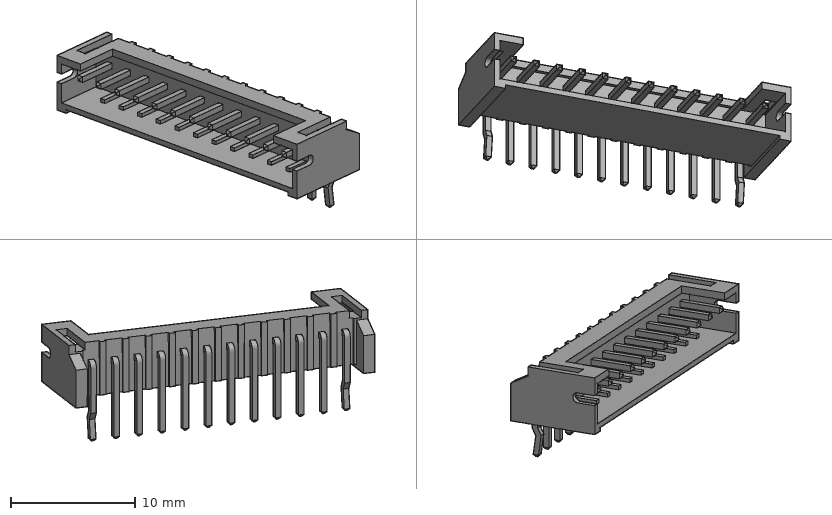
import cadquery as cq


LENGTH = 25.9
HEIGHT = 4.85
DEPTH = 7.6
FOOT_HEIGHT = 0.3
FLOOR_THICKNESS = 0.47
ROOF_THICKNESS = 0.62
SIDE_WALL = 0.5
CAVITY_DEPTH = 4.2
BODY_DEPTH = 6.03
WINDOW_LENGTH = 20.82
WINDOW_DEPTH = 3.88

EAR_WIDTH = 0.98
EAR_SHOULDER_Z = 4.07
EAR_BACK_Z = 3.2
SLOT_OUTER_WALL = 0.57
SLOT_WIDTH = 0.93
SLOT_START_Y = 1.8
NOTCH_DEPTH = 1.97
NOTCH_HEIGHT = 0.85
NOTCH_Z = 2.9

PIN_COUNT = 12
ROW_LENGTH = 22.0
PIN_SIZE = 0.5
PIN_Z = 3.13
PIN_FRONT_Y = 0.45
PIN_BACK_Y = 6.5
BEND_RADIUS = 0.6
PIN_BOTTOM_Z = -3.42
TIP_LENGTH = 0.2
TIP_SIZE = 0.13

KINK_TOP_Z = -0.88
KINK_Z = -1.48
KINK_OFFSET = 0.3
KINK_BACK_DROP = 0.1
KINK_END_OFFSET = 0.08

FLOOR_RIB_WIDTH = 0.45
FLOOR_RIB_HEIGHT = 0.3
FLOOR_RIB_FRONT_Y = 2.23
BACK_RIB_WIDTH = 0.52
PANEL_RECESS = 0.15
PANEL_TOP_RECESS = 0.28
END_RIB_WIDTH = 0.23

FLOOR_Z = FOOT_HEIGHT + FLOOR_THICKNESS
ROOF_Z = HEIGHT - ROOF_THICKNESS
PITCH = ROW_LENGTH / (PIN_COUNT - 1)
PIN_XS = [i * PITCH - ROW_LENGTH / 2 for i in range(PIN_COUNT)]
GAP_XS = [x + PITCH / 2 for x in PIN_XS[:-1]]
LEG_Y = PIN_BACK_Y - PIN_SIZE / 2
SHANK_END_Z = PIN_BOTTOM_Z + TIP_LENGTH


def block(x_range, y_range, z_range):
    """Box between the given limits."""
    size = [high - low for low, high in (x_range, y_range, z_range)]
    corner = (x_range[0], y_range[0], z_range[0])
    return cq.Workplane("XY").box(*size, centered=False).translate(corner)


def centered_range(center, width):
    """Limits of a span of the given width about center."""
    return (center - width / 2, center + width / 2)


def side_profile(points, center_x, width):
    """Extrude a closed (Y, Z) outline along X about center_x."""
    outline = cq.Workplane("YZ", origin=(center_x - width / 2, 0, 0)).polyline(points).close()
    return outline.extrude(width)


def body():
    """Main block with its back panels recessed between ribs and leaning in at the top."""
    half_body = LENGTH / 2 - EAR_WIDTH
    shell = block((-half_body, half_body), (0, BODY_DEPTH), (FOOT_HEIGHT, HEIGHT))
    panel_cut = [
        (BODY_DEPTH, FOOT_HEIGHT),
        (BODY_DEPTH - PANEL_RECESS, FOOT_HEIGHT),
        (BODY_DEPTH - PANEL_RECESS, PIN_Z),
        (BODY_DEPTH - PANEL_TOP_RECESS, HEIGHT),
        (BODY_DEPTH, HEIGHT),
    ]
    half_panels = half_body - END_RIB_WIDTH
    panel_edges = [-half_panels]
    for x in GAP_XS:
        panel_edges += centered_range(x, BACK_RIB_WIDTH)
    panel_edges.append(half_panels)
    for left, right in zip(panel_edges[::2], panel_edges[1::2]):
        shell = shell.cut(side_profile(panel_cut, (left + right) / 2, right - left))
    return shell


def ear(side):
    """End ear over the full depth, with a foot below and a sloped shoulder behind the body."""
    outline = [
        (0, 0),
        (DEPTH, 0),
        (DEPTH, EAR_BACK_Z),
        (BODY_DEPTH, EAR_SHOULDER_Z),
        (BODY_DEPTH, HEIGHT),
        (0, HEIGHT),
    ]
    return side_profile(outline, side * (LENGTH - EAR_WIDTH) / 2, EAR_WIDTH)


def cavity():
    """Mating cavity together with the window through its roof."""
    half_cavity = LENGTH / 2 - SIDE_WALL
    half_window = WINDOW_LENGTH / 2
    pocket = block((-half_cavity, half_cavity), (0, CAVITY_DEPTH), (FLOOR_Z, ROOF_Z))
    window = block((-half_window, half_window), (0, WINDOW_DEPTH), (FLOOR_Z, HEIGHT))
    return pocket.union(window)


def roof_slot(side):
    """Slot beside an ear, open at the back and breaking through the roof into the cavity."""
    center_x = side * (LENGTH / 2 - SLOT_OUTER_WALL - SLOT_WIDTH / 2)
    return block(centered_range(center_x, SLOT_WIDTH), (SLOT_START_Y, DEPTH), (ROOF_Z, HEIGHT))


def side_notches():
    """Round-ended notch from the mating face, through both side walls."""
    radius = NOTCH_HEIGHT / 2
    round_y = NOTCH_DEPTH - radius
    top_z = NOTCH_Z + radius
    bottom_z = NOTCH_Z - radius
    outline = (
        cq.Workplane("YZ", origin=(-LENGTH / 2, 0, 0))
        .moveTo(0, bottom_z)
        .lineTo(round_y, bottom_z)
        .threePointArc((NOTCH_DEPTH, NOTCH_Z), (round_y, top_z))
        .lineTo(0, top_z)
        .close()
    )
    return outline.extrude(LENGTH)


def floor_rib(x):
    """Low rib on the cavity floor, running forward from the back wall."""
    return block(
        centered_range(x, FLOOR_RIB_WIDTH),
        (FLOOR_RIB_FRONT_Y, CAVITY_DEPTH),
        (FLOOR_Z, FLOOR_Z + FLOOR_RIB_HEIGHT),
    )


def tip(plane_name, base_center):
    """Blunt pyramid growing along the plane's normal from a pin end."""
    return (
        cq.Workplane(plane_name, origin=base_center)
        .rect(PIN_SIZE, PIN_SIZE)
        .workplane(offset=TIP_LENGTH)
        .rect(TIP_SIZE, TIP_SIZE)
        .loft(ruled=True)
    )


def leg_outline(kinked):
    """(Y, Z) outline of the leg below the bend, straight or kinked toward the front."""
    front_y = PIN_BACK_Y - PIN_SIZE
    front = [(front_y, PIN_Z)]
    back = [(PIN_BACK_Y, PIN_Z)]
    end_offset = 0
    if kinked:
        end_offset = KINK_END_OFFSET
        kinked_path = [(0, KINK_TOP_Z), (KINK_OFFSET, KINK_Z)]
        front += [(front_y - offset, z) for offset, z in kinked_path]
        back += [(PIN_BACK_Y - offset, z - KINK_BACK_DROP) for offset, z in kinked_path]
    front.append((front_y - end_offset, SHANK_END_Z))
    back.append((PIN_BACK_Y - end_offset, SHANK_END_Z))
    return front + back[::-1]


def pin(x, kinked):
    """Square pin from its mating tip back to a rounded bend and down to its solder tip."""
    shank_front_y = PIN_FRONT_Y + TIP_LENGTH
    arm = block(
        centered_range(x, PIN_SIZE),
        (shank_front_y, PIN_BACK_Y),
        centered_range(PIN_Z, PIN_SIZE),
    )
    leg = side_profile(leg_outline(kinked), x, PIN_SIZE)
    shank = arm.union(leg).clean()
    shank = shank.edges(">Y and >Z").fillet(BEND_RADIUS)
    leg_end_y = LEG_Y - (KINK_END_OFFSET if kinked else 0)
    mating_tip = tip("XZ", (x, shank_front_y, PIN_Z))
    solder_tip = tip("XY", (0, 0, 0)).mirror("XY").translate((x, leg_end_y, SHANK_END_Z))
    return shank.union(mating_tip).union(solder_tip)


result = body()

for side in (-1, 1):
    result = result.union(ear(side))
result = result.cut(cavity()).cut(side_notches())

for side in (-1, 1):
    result = result.cut(roof_slot(side))

for x in GAP_XS:
    result = result.union(floor_rib(x))

end_pins = (PIN_XS[0], PIN_XS[-1])
for x in PIN_XS:
    result = result.union(pin(x, kinked=x in end_pins))